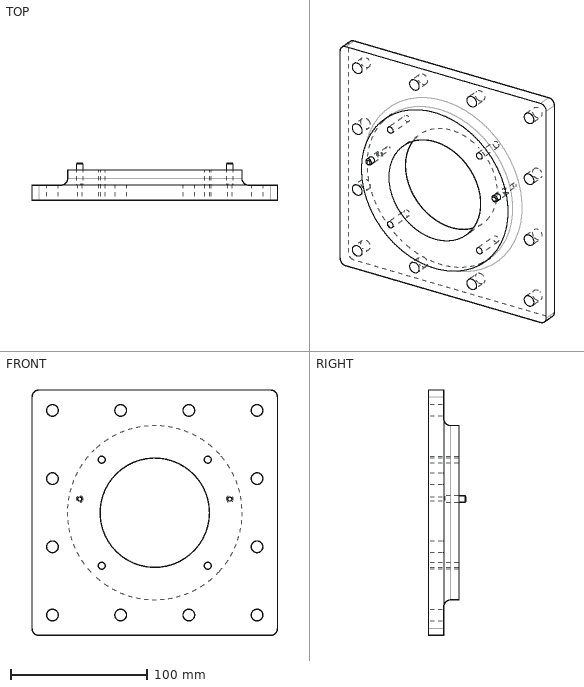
import cadquery as cq
import math

plate_side = 180.0
plate_thickness = 11.25
plate_corner_radius = 5.0

hub_diameter = 128.0
hub_height = 11.25
hub_fillet_radius = 5.0
bore_diameter = 80.0
body_depth = plate_thickness + hub_height

edge_hole_diameter = 8.4
edge_hole_pitch = 50.0
edge_holes_per_side = 4

screw_hole_diameter = 5.0
screw_circle_diameter = 110.0
screw_hole_offset = screw_circle_diameter / 2 * math.cos(math.radians(45))

pin_diameter = 5.0
pin_projection = 5.0
pin_length = 16.0
pin_seat_depth = pin_length - pin_projection
pin_chamfer = 0.8
pin_dome_radius = pin_diameter
pin_spacing = 110.0
pin_height = 10.0
pin_positions = [(side * pin_spacing / 2, pin_height) for side in (-1, 1)]
pin_seat_y = body_depth - pin_seat_depth

knockout_diameter = 3.0


def cylinder(diameter, length, positions, start_y=0.0):
    """Cylinders along +Y from start_y, one at each (x, z) position."""
    plane = cq.Workplane("XZ", origin=(0, start_y, 0))
    return plane.pushPoints(positions).circle(diameter / 2).extrude(-length)


def edge_hole_positions():
    """Outer positions of the square hole grid."""
    reach = edge_hole_pitch * (edge_holes_per_side - 1) / 2
    steps = [edge_hole_pitch * i - reach for i in range(edge_holes_per_side)]
    return [(x, z) for x in steps for z in steps if max(abs(x), abs(z)) == reach]


def screw_hole_positions():
    """The four corners of the hub screw pattern."""
    offsets = (-screw_hole_offset, screw_hole_offset)
    return [(x, z) for x in offsets for z in offsets]


def make_flange():
    """Plate and hub with the bore and all holes."""
    centre = [(0, 0)]
    plate = cq.Workplane("XZ").rect(plate_side, plate_side).extrude(-plate_thickness)
    plate = plate.edges("|Y").fillet(plate_corner_radius)
    flange = plate.union(cylinder(hub_diameter, hub_height, centre, plate_thickness))

    hub_root = cq.selectors.RadiusNthSelector(-1)
    root_edges = flange.faces("%CYLINDER").edges("%CIRCLE").edges(hub_root).edges("<Y")
    flange = root_edges.fillet(hub_fillet_radius)

    flange = flange.cut(cylinder(bore_diameter, body_depth, centre))
    flange = flange.cut(cylinder(edge_hole_diameter, plate_thickness, edge_hole_positions()))
    flange = flange.cut(cylinder(screw_hole_diameter, body_depth, screw_hole_positions()))
    flange = flange.cut(cylinder(pin_diameter, pin_seat_depth, pin_positions, pin_seat_y))
    return flange.cut(cylinder(knockout_diameter, pin_seat_y, pin_positions))


def dome_depth(distance):
    """Distance along the pin from the crown to the dome surface, at a distance from the axis."""
    return pin_dome_radius - math.sqrt(pin_dome_radius**2 - distance**2)


def make_pin(position):
    """Dowel pin with a domed inner end and a chamfered outer end."""
    x, z = position
    radius = pin_diameter / 2
    profile = (
        cq.Workplane("XY", origin=(x, pin_seat_y, z))
        .moveTo(0, 0)
        .threePointArc((radius / 2, dome_depth(radius / 2)), (radius, dome_depth(radius)))
        .lineTo(radius, pin_length - pin_chamfer)
        .lineTo(radius - pin_chamfer, pin_length)
        .lineTo(0, pin_length)
        .close()
    )
    return profile.revolve(360, (0, 0, 0), (0, 1, 0))


flange = make_flange()
pins = [make_pin(position) for position in pin_positions]

result = cq.Compound.makeCompound([flange.val(), *[pin.val() for pin in pins]])